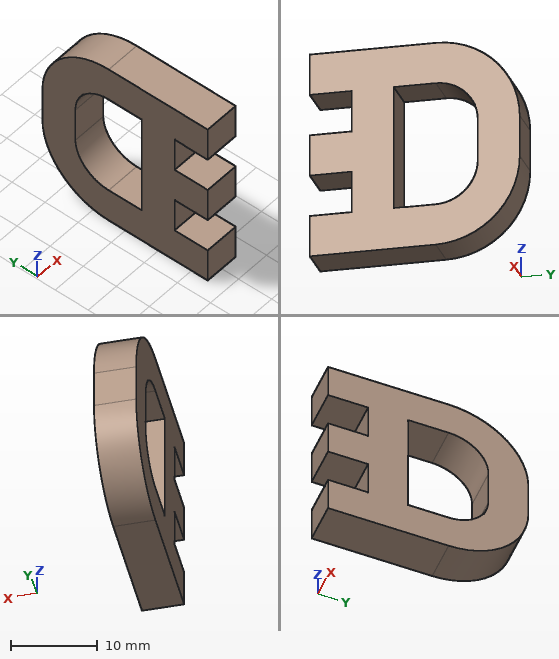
import cadquery as cq

side = 25.0
wall = side / 5
outer_radius = 2 * wall
inner_radius = outer_radius - wall
window_length = 2 * wall
window_height = side - 2 * wall


def block(length, height, y_min, z_center):
    """Plate-thick block starting at y_min, centred on z_center and on X = 0."""
    return cq.Workplane("XY").box(wall, length, height).translate((0, y_min + length / 2, z_center))


y_front = -side / 2
body = block(side, side, y_front, 0).edges("|X and >Y").fillet(outer_radius)

window_start = side / 2 - wall - window_length
window = block(window_length, window_height, window_start, 0)
window = window.edges("|X and >Y").fillet(inner_radius)
body = body.cut(window)

for z_center in (-wall, wall):
    body = body.cut(block(wall, wall, y_front, z_center))

result = body